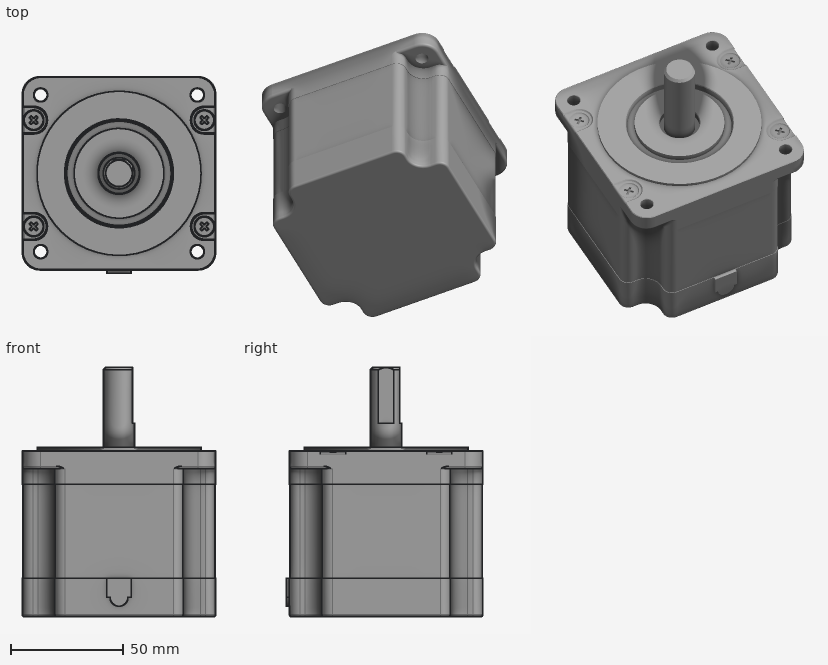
import cadquery as cq
import math

flange_side = 86.0
flange_half = flange_side / 2
total_height = 111.0

end_cap_top = 17.2
flange_bottom = 58.9
flange_top = 73.9
pilot_top = 75.4

stator_inset = 0.2
corner_recess = 14.4
recess_inner_radius = 7.5
recess_outer_radius = 4.5
recess_top = 65.7
bottom_fillet = 1.0

flange_corner_radius = 8.0
flange_top_chamfer = 0.3
flange_bottom_fillet = 1.2
mount_hole_offset = 34.9
mount_hole_diameter = 5.8
mount_hole_chamfer = 0.2

pilot_radius = 36.5
groove_outer_radius = 23.9
groove_floor_radius = 23.2
groove_inner_radius = 20.0
groove_depth = 2.5
groove_chamfer = 0.3
shaft_clearance_radius = 9.0
shaft_clearance_depth = 3.0
shaft_clearance_chamfer = 0.3

shaft_radius = 7.0
shaft_tip_chamfer = 1.1
shaft_flat_offset = 6.1
shaft_flat_start = 86.1

screw_x = 38.0
screw_y = 23.6
pocket_floor_radius = 5.7
pocket_depth = 0.5
pocket_wall_slope = 45
pocket_edge_fillet = 0.9
screw_head_radius = 4.2
screw_head_drop = 0.3
cross_length = 4.3
cross_width = 1.1
cross_depth = 1.0

tab_width = 10.8
tab_thickness = 1.4
tab_shoulder = 8.7
tab_tip_radius = 4.0

cutter_margin = 5.5
corner_signs = [(sign_x, sign_y) for sign_x in (-1, 1) for sign_y in (-1, 1)]


def turn_about_z(shape, angle):
    return shape.rotate((0, 0, 0), (0, 0, 1), angle)


def revolve_about_z(profile):
    """Closes a profile drawn in the XZ plane and spins it about the Z axis."""
    return profile.close().revolve(360, (0, 0, 0), (0, 1, 0))


def make_flange_blank():
    """Rounded square plate that keeps its corners over the housing recesses."""
    return (
        cq.Workplane("XY", origin=(0, 0, recess_top))
        .rect(flange_side, flange_side)
        .extrude(flange_top - recess_top)
        .edges("|Z")
        .fillet(flange_corner_radius)
        .faces("<Z")
        .edges()
        .fillet(flange_bottom_fillet)
    )


def recess_cutter():
    """Cutter for the (+X, +Y) corner: a rounded notch up to the rounded flange edge."""
    wall = flange_half - corner_recess
    face_tangent = wall - recess_outer_radius
    arc_start = flange_half - recess_outer_radius
    inner_centre = wall + recess_inner_radius
    outside = flange_half + cutter_margin
    roof = recess_top + flange_bottom_fillet
    diagonal_part = math.sqrt(0.5)
    outer_mid = arc_start + recess_outer_radius * diagonal_part
    outer_mid_side = face_tangent + recess_outer_radius * diagonal_part
    inner_mid = inner_centre - recess_inner_radius * diagonal_part
    notch = (
        cq.Workplane("XY")
        .moveTo(outside, face_tangent)
        .lineTo(flange_half, face_tangent)
        .threePointArc((outer_mid, outer_mid_side), (arc_start, wall))
        .lineTo(inner_centre, wall)
        .threePointArc((inner_mid, inner_mid), (wall, inner_centre))
        .lineTo(wall, arc_start)
        .threePointArc((outer_mid_side, outer_mid), (face_tangent, flange_half))
        .lineTo(face_tangent, outside)
        .lineTo(outside, outside)
        .close()
        .extrude(roof)
    )
    wall_edges = cq.selectors.BoxSelector(
        (0, 0, recess_top), (flange_half, flange_half, roof + flange_bottom_fillet)
    )
    notch = notch.faces(">Z").edges(wall_edges).fillet(flange_bottom_fillet)
    return notch.cut(make_flange_blank())


def make_housing():
    """Flange and end cap with notched corners, and the slightly smaller stator between."""
    body = (
        cq.Workplane("XY")
        .rect(flange_side, flange_side)
        .extrude(flange_top)
        .edges("|Z")
        .fillet(flange_corner_radius)
        .faces(">Z")
        .edges()
        .chamfer(flange_top_chamfer)
    )
    cutter = recess_cutter()
    for turn in range(4):
        body = body.cut(turn_about_z(cutter, 90 * turn))
    body = body.faces("<Z").edges().fillet(bottom_fillet)

    bottom_outline = cq.Workplane("XY").add(body.faces("<Z").wires().vals()).toPending()
    stator = (
        bottom_outline.offset2D(bottom_fillet - stator_inset)
        .extrude(flange_bottom - end_cap_top)
        .translate((0, 0, end_cap_top))
    )
    stator_band = (
        cq.Workplane("XY", origin=(0, 0, end_cap_top))
        .rect(2 * flange_side, 2 * flange_side)
        .extrude(flange_bottom - end_cap_top)
    )
    return body.cut(stator_band).union(stator)


def make_pilot():
    """Pilot disc on the flange."""
    return (
        cq.Workplane("XY", origin=(0, 0, flange_top))
        .circle(pilot_radius)
        .extrude(pilot_top - flange_top)
    )


def pilot_cutter():
    """Ring groove with a tapered outer wall, and the clearance bore around the shaft."""
    floor = pilot_top - groove_depth
    groove = revolve_about_z(
        cq.Workplane("XZ")
        .moveTo(groove_inner_radius, floor)
        .lineTo(groove_floor_radius, floor)
        .lineTo(groove_outer_radius, pilot_top - groove_chamfer)
        .lineTo(groove_outer_radius + groove_chamfer, pilot_top)
        .lineTo(groove_inner_radius, pilot_top)
    )
    bore_floor = pilot_top - shaft_clearance_depth
    bore = revolve_about_z(
        cq.Workplane("XZ")
        .moveTo(0, bore_floor)
        .lineTo(shaft_clearance_radius, bore_floor)
        .lineTo(shaft_clearance_radius, pilot_top - shaft_clearance_chamfer)
        .lineTo(shaft_clearance_radius + shaft_clearance_chamfer, pilot_top)
        .lineTo(0, pilot_top)
    )
    return groove.union(bore)


def make_shaft():
    """Shaft with a chamfered tip and two flats at right angles, facing +X and +Y."""
    start = pilot_top - shaft_clearance_depth
    shaft = (
        cq.Workplane("XY", origin=(0, 0, start))
        .circle(shaft_radius)
        .extrude(total_height - start)
        .faces(">Z")
        .chamfer(shaft_tip_chamfer)
    )
    flat_length = total_height - shaft_flat_start
    flat = (
        cq.Workplane("XY", origin=(shaft_flat_offset, 0, shaft_flat_start))
        .box(shaft_radius, 4 * shaft_radius, flat_length, centered=(False, True, False))
    )
    return shaft.cut(flat).cut(turn_about_z(flat, 90))


def mount_hole_cutter():
    """Through hole with a small chamfer at the flange top."""
    radius = mount_hole_diameter / 2
    return revolve_about_z(
        cq.Workplane("XZ")
        .moveTo(0, 0)
        .lineTo(radius, 0)
        .lineTo(radius, flange_top - mount_hole_chamfer)
        .lineTo(radius + mount_hole_chamfer, flange_top)
        .lineTo(0, flange_top)
    )


def screw_cutter():
    """Cutter for a screw pocket that opens to +X, centred on the screw axis."""
    edge = flange_half - screw_x
    floor = flange_top - pocket_depth
    reach = edge + cutter_margin
    pocket = (
        cq.Workplane("XY", origin=(0, 0, floor))
        .moveTo(reach, pocket_floor_radius)
        .lineTo(0, pocket_floor_radius)
        .threePointArc((-pocket_floor_radius, 0), (0, -pocket_floor_radius))
        .lineTo(reach, -pocket_floor_radius)
        .close()
        .extrude(pocket_depth, taper=-pocket_wall_slope)
    )
    rounding = (
        cq.Workplane("XZ", origin=(0, pocket_floor_radius, 0))
        .moveTo(edge - pocket_edge_fillet, floor)
        .radiusArc((edge, floor - pocket_edge_fillet), pocket_edge_fillet)
        .lineTo(edge, floor)
        .close()
        .extrude(2 * pocket_floor_radius)
    )
    head_top = floor - screw_head_drop
    head = (
        cq.Workplane("XY", origin=(0, 0, head_top))
        .circle(screw_head_radius)
        .extrude(screw_head_drop, taper=-pocket_wall_slope)
    )
    cross = cq.Workplane("XY", origin=(0, 0, head_top - cross_depth))
    arm = cross.rect(cross_length, cross_width).extrude(cross_depth)
    cutter = pocket.union(rounding).union(head)
    for angle in (45, 135):
        cutter = cutter.union(turn_about_z(arm, angle))
    return cutter


def make_tab():
    """Round-tipped tab on the -Y face of the end cap."""
    return (
        cq.Workplane("XZ", origin=(0, -flange_half, 0))
        .moveTo(-tab_width / 2, end_cap_top)
        .lineTo(-tab_width / 2, tab_shoulder)
        .lineTo(-tab_tip_radius, tab_shoulder)
        .threePointArc((0, tab_shoulder - tab_tip_radius), (tab_tip_radius, tab_shoulder))
        .lineTo(tab_width / 2, tab_shoulder)
        .lineTo(tab_width / 2, end_cap_top)
        .close()
        .extrude(tab_thickness)
    )


result = make_housing().union(make_pilot()).cut(pilot_cutter())

for sign_x, sign_y in corner_signs:
    hole_place = (sign_x * mount_hole_offset, sign_y * mount_hole_offset, 0)
    result = result.cut(mount_hole_cutter().translate(hole_place))
    facing = 0 if sign_x > 0 else 180
    screw = turn_about_z(screw_cutter(), facing)
    result = result.cut(screw.translate((sign_x * screw_x, sign_y * screw_y, 0)))

result = result.union(make_tab()).union(make_shaft())